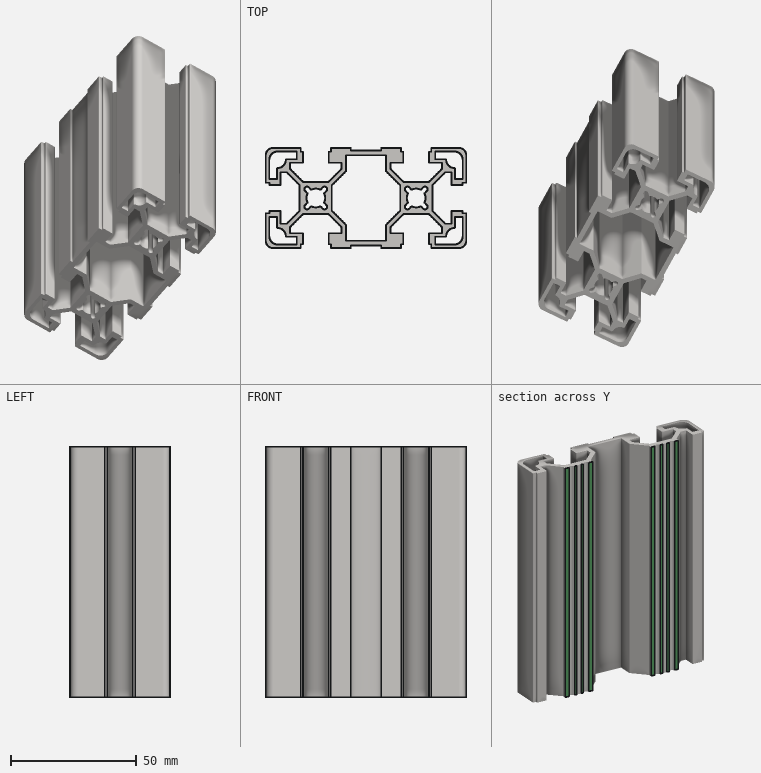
import cadquery as cq
import math

length = 100.0
module = 40.0
half = module / 2
corner_radius = 3.0

mouth_half = 6.0
lip_half = 5.1
mouth_step = 1.5
lip_inner = 14.0
slot_half = 10.2
core_size = 12.9
core_half = core_size / 2
end_floor = 6.5
edge_round = 0.3
web_thickness = 1.9
web_offset = web_thickness / math.sqrt(2)

wall = 1.5
pocket_outer = half - wall
pocket_inner = lip_inner + wall
pocket_end = 7.6
pocket_corner_radius = 3.3
scoop_center = pocket_outer - pocket_corner_radius
scoop_radius = 3.2
scoop_edge_round = 0.5

cavity_half_x = 7.9
cavity_half_y = 17.0
recess_half = 6.0
recess_depth = 1.0

bore_radius = 3.7
groove_radius = 1.0
groove_center = 3.5


def prism(outline):
    """Extrude a closed sketch over the full length."""
    return outline.extrude(length)


def t_slot(center_x, angle, floor):
    """Slot opening toward +Y of a module, turned about the module centre."""
    shelf = half - mouth_step
    lip_edge = lip_half + edge_round
    right_half = prism(
        cq.Workplane("XY")
        .moveTo(0, half)
        .lineTo(mouth_half + edge_round, half)
        .radiusArc((mouth_half, half - edge_round), -edge_round)
        .lineTo(mouth_half, shelf)
        .lineTo(lip_edge, shelf)
        .radiusArc((lip_half, shelf - edge_round), -edge_round)
        .lineTo(lip_half, lip_inner + edge_round)
        .radiusArc((lip_edge, lip_inner), -edge_round)
        .lineTo(slot_half, lip_inner)
        .lineTo(slot_half, slot_half + web_offset)
        .lineTo(floor - web_offset, floor)
        .lineTo(0, floor)
        .close()
    )
    slot = right_half.union(right_half.mirror("YZ"))
    return slot.rotate((0, 0, 0), (0, 0, 1), angle).translate((center_x, 0, 0))


def corner_pocket():
    """Hollow in the +X +Y corner, scooped by an arc toward the module centre."""
    scoop_rise = pocket_inner - scoop_center
    scoop_end = scoop_center - math.sqrt(scoop_radius**2 - scoop_rise**2)
    scoop_mid = scoop_center - scoop_radius / math.sqrt(2)
    pocket = prism(
        cq.Workplane("XY")
        .moveTo(pocket_end, pocket_outer)
        .lineTo(scoop_center, pocket_outer)
        .radiusArc((pocket_outer, scoop_center), pocket_corner_radius)
        .lineTo(pocket_outer, pocket_end)
        .lineTo(pocket_inner, pocket_end)
        .lineTo(pocket_inner, scoop_end)
        .threePointArc((scoop_mid, scoop_mid), (scoop_end, pocket_inner))
        .lineTo(pocket_end, pocket_inner)
        .close()
    )
    for x, y in ((scoop_end, pocket_inner), (pocket_inner, scoop_end)):
        scoop_edge = cq.selectors.NearestToPointSelector((x, y, length / 2))
        pocket = pocket.edges(scoop_edge).fillet(scoop_edge_round)
    return pocket.translate((half, 0, 0))


def central_cavity():
    """Through cavity between the two cores, bounded by the diagonal webs."""
    core_side = half - core_half
    web_start = core_half - web_offset
    web_stop = half - cavity_half_x - web_offset
    quarter = [
        (cavity_half_x, cavity_half_y),
        (cavity_half_x, web_stop),
        (core_side, web_start),
    ]
    right_side = quarter + [(x, -y) for x, y in reversed(quarter)]
    left_side = [(-x, -y) for x, y in right_side]
    return prism(cq.Workplane("XY").polyline(right_side + left_side).close())


def face_recess(side):
    """Shallow channel in the middle of the +Y (side=1) or -Y (side=-1) face."""
    return prism(
        cq.Workplane("XY")
        .center(0, side * (half - recess_depth / 2))
        .rect(2 * recess_half, recess_depth)
    )


def core_bore(center_x):
    """Round bore with a round-ended groove toward each core corner."""
    bore = prism(cq.Workplane("XY").circle(bore_radius))
    groove_span = 2 * (groove_center * math.sqrt(2) + groove_radius)
    for angle in (45, -45):
        grooves = prism(cq.Workplane("XY").slot2D(groove_span, 2 * groove_radius, angle))
        bore = bore.union(grooves)
    return bore.translate((center_x, 0, 0))


result = cq.Workplane("XY").box(2 * module, module, length, centered=(True, True, False))
result = result.edges("|Z").fillet(corner_radius)

for module_center in (-half, half):
    for slot_angle in (0, 180):
        result = result.cut(t_slot(module_center, slot_angle, core_half))
    result = result.cut(core_bore(module_center))
result = result.cut(t_slot(half, -90, end_floor))
result = result.cut(t_slot(-half, 90, end_floor))

right_pocket = corner_pocket()
for side_pocket in (right_pocket, right_pocket.mirror("YZ")):
    result = result.cut(side_pocket)
    result = result.cut(side_pocket.mirror("XZ"))

result = result.cut(central_cavity())
for face_side in (1, -1):
    result = result.cut(face_recess(face_side))